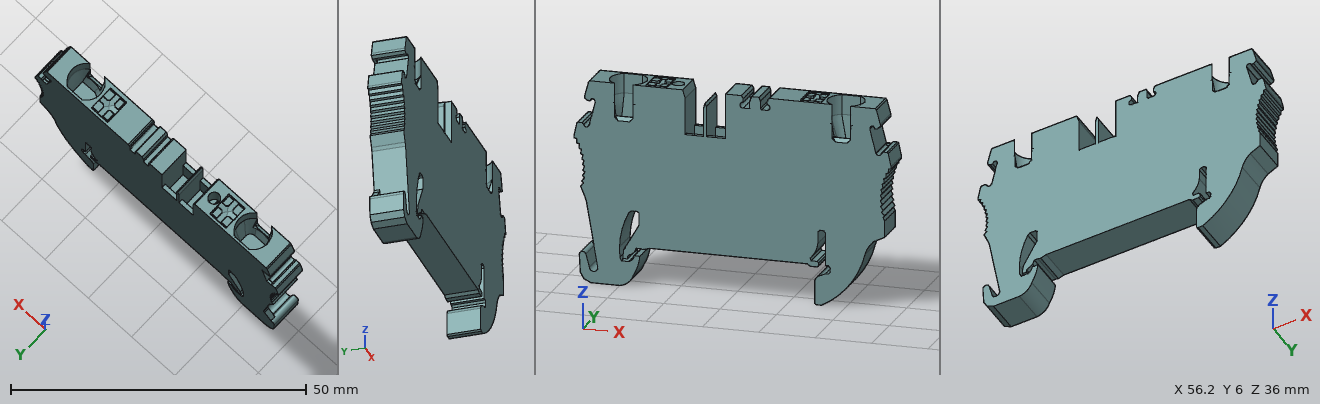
import cadquery as cq
import math

LENGTH = 56.25
WIDTH = 6.0
HEIGHT = 36.0
HALF_LENGTH = LENGTH / 2
HALF_WIDTH = WIDTH / 2

GRIP_CENTRE_X = 37.45
GRIP_CENTRE_Z = 19.95
GRIP_TIP_RADIUS = 10.9
GRIP_ROOT_RADIUS = 11.25
GRIP_TEETH = 9
GRIP_FIRST_ANGLE = 25.6
GRIP_LAST_ANGLE = -15.5
GRIP_ROOT_LEAD = 3.6

RAIL_SEAT_Z = 7.15

SHAFT_LEFT = -8.4
SHAFT_RIGHT = -1.25
SHAFT_FLOOR_Z = 28.05
FIN_LEFT = -5.2
FIN_RIGHT = -4.6
SHAFT_WELL_WIDTH = 4.45
SHAFT_WELL_DEPTH = 5.6

GROOVE_FLOOR_Z = 33.8

RELIEF_WEB = 0.5
GROOVE_RELIEFS = [(1.85, 34.3, 0.5), (6.15, 34.3, 0.5)]
END_NOTCH_RELIEFS = [(24.8, 32.4, 0.42), (25.9, 28.1, 0.42)]

HOOK_WEB = 1.0

FUNNEL_X = 19.3
FUNNEL_Y = -0.2
FUNNEL_DIAMETER = 6.45
FUNNEL_BACK_WALL = 0.45
FUNNEL_WALL_ANGLES = (160, 200, 240, 300)
FUNNEL_STRAIGHT_DEPTH = 3.5
FUNNEL_DEPTH = 7.9
FUNNEL_FLOOR_OUTER_X = 21.25
FUNNEL_FLOOR_INNER_X = 17.45
FUNNEL_FLOOR_FRONT_Y = -1.45
FUNNEL_FLOOR_BACK_Y = 2.15
FUNNEL_FLOOR_RADIUS = 1.1
WINDOW_WIDTH = 3.25
WINDOW_DEPTH = 6.65
WINDOW_CORNER = 0.6
WINDOW_SILL = 0.6

BUTTON_X = 13.65
BUTTON_Y = 0.1
BUTTON_LENGTH = 3.7
BUTTON_WIDTH = 4.7
BUTTON_GAP = 0.2
BUTTON_GAP_DEPTH = 0.3
BUTTON_SINK = 0.1
CROSS_ARM = 1.0
CROSS_CORNER = 0.35
CROSS_CENTRE_DEPTH = 0.7
CROSS_END_DEPTH = 0.4

TEST_HOLE_DIAMETER = 2.15
TEST_HOLE_X = -10.5
TEST_HOLE_DEPTH = 4.5
TEST_SLOT_LEFT = -11.0
TEST_SLOT_RIGHT = -10.4
TEST_SLOT_DEPTH = 5.05


def across(outline, y_from, y_to):
    """Extrude a closed XZ outline from one Y position to another."""
    return outline.extrude(y_from - y_to).translate((0, y_from, 0))


def box(x_from, x_to, y_from, y_to, z_from, z_to):
    size = (x_to - x_from, y_to - y_from, z_to - z_from)
    return cq.Workplane("XY").box(*size, centered=False).translate((x_from, y_from, z_from))


def mirrored(points):
    return [(-x, z) for x, z in points]


def grip_points():
    """Root and tip of each grip tooth on the -X end, from the top down."""
    step = (GRIP_LAST_ANGLE - GRIP_FIRST_ANGLE) / (GRIP_TEETH - 1)
    points = []
    for tooth in range(GRIP_TEETH):
        tip_angle = GRIP_FIRST_ANGLE + tooth * step
        corners = [
            (GRIP_ROOT_RADIUS, tip_angle + GRIP_ROOT_LEAD),
            (GRIP_TIP_RADIUS, tip_angle),
        ]
        for radius, angle in corners:
            a = math.radians(angle)
            points.append((radius * math.cos(a) - GRIP_CENTRE_X, GRIP_CENTRE_Z + radius * math.sin(a)))
    return points


def end_points():
    """Upper part of the -X end, from the top edge down to the last grip tooth."""
    label_notch = [
        (-25.3, HEIGHT), (-25.55, 35.75), (-26.2, 33.3), (-26.25, 32.85),
        (-25.7, 32.45), (-25.25, 32.4), (-24.35, 32.3),
        (-25.4, 28.05), (-26.4, 28.1), (-26.65, 28.4), (-27.4, 28.4), (-27.6, 28.25),
    ]
    nose = [(-HALF_LENGTH, 25.9), (-HALF_LENGTH, 25.55)]
    return label_notch + nose + grip_points()


def top_points():
    """Top edge from the -X end to the +X end: jumper shaft, fin and marker grooves."""
    shaft = [
        (-8.85, HEIGHT), (SHAFT_LEFT, 34.55), (SHAFT_LEFT, SHAFT_FLOOR_Z),
        (FIN_LEFT, SHAFT_FLOOR_Z), (FIN_LEFT, 33.0), (-4.9, 33.95), (FIN_RIGHT, 33.45),
        (FIN_RIGHT, SHAFT_FLOOR_Z), (SHAFT_RIGHT, SHAFT_FLOOR_Z), (SHAFT_RIGHT, HEIGHT),
    ]
    grooves = [
        (1.6, HEIGHT), (1.9, 35.5), (1.9, GROOVE_FLOOR_Z), (3.05, GROOVE_FLOOR_Z), (3.05, 35.15), (3.4, HEIGHT),
        (4.7, HEIGHT), (4.95, 35.3), (4.95, 34.0), (5.2, GROOVE_FLOOR_Z), (6.15, GROOVE_FLOOR_Z),
        (6.15, 35.4), (6.3, 35.75), (6.6, HEIGHT),
    ]
    return shaft + grooves


def housing():
    left_end = end_points()
    right_end = mirrored(left_end)
    outline = cq.Workplane("XZ").moveTo(*left_end[0])
    for point in top_points() + right_end:
        outline = outline.lineTo(*point)

    outline = (
        outline.lineTo(26.7, 16.7)
        .lineTo(27.0, 16.15)
        .lineTo(27.0, 13.2)
        .lineTo(25.1, 12.25)
        .threePointArc((24.1, 11.2), (23.5, 9.85))
        .threePointArc((20.85, 4.3), (15.8, 0))
        .lineTo(14.9, 0)
        .lineTo(14.55, 0.2)
        .lineTo(14.55, 4.3)
        .threePointArc((14.9, 4.9), (15.45, 5.25))
        .lineTo(16.5, 5.7)
        .lineTo(17.05, 5.75)
        .lineTo(17.3, 6.0)
        .lineTo(17.3, 6.75)
        .lineTo(17.05, RAIL_SEAT_Z)
        .lineTo(16.5, RAIL_SEAT_Z)
        .lineTo(16.5, 13.0)
        .lineTo(16.15, 13.35)
        .lineTo(15.45, 13.35)
        .lineTo(15.15, 13.0)
        .lineTo(15.15, 10.95)
        .threePointArc((14.8, 9.7), (13.8, 8.2))
        .lineTo(13.95, 7.75)
        .lineTo(15.0, 7.75)
        .lineTo(15.3, 7.55)
        .lineTo(15.3, 7.0)
        .lineTo(15.0, 6.75)
        .lineTo(13.85, 6.75)
        .lineTo(13.2, RAIL_SEAT_Z)
    )

    outline = (
        outline.lineTo(-14.8, RAIL_SEAT_Z)
        .lineTo(-15.85, 6.8)
        .lineTo(-16.4, 6.9)
        .lineTo(-17.1, 6.9)
        .lineTo(-17.45, 6.15)
        .lineTo(-18.6, 5.35)
        .lineTo(-18.6, 4.9)
        .lineTo(-19.45, 4.9)
        .lineTo(-19.3, 6.45)
        .lineTo(-16.6, 11.1)
        .lineTo(-16.6, 13.3)
        .lineTo(-16.9, 13.5)
        .lineTo(-17.95, 13.5)
        .lineTo(-18.4, 13.1)
        .threePointArc((-19.55, 10.1), (-20.0, 6.9))
        .lineTo(-19.95, 5.05)
        .lineTo(-19.7, 4.45)
        .lineTo(-18.4, 4.45)
        .threePointArc((-17.7, 4.95), (-17.5, 5.55))
    )

    outline = (
        outline.lineTo(-16.4, 5.55)
        .threePointArc((-16.8, 3.7), (-17.6, 2.0))
        .threePointArc((-18.55, 0.6), (-20.0, 0))
        .lineTo(-25.1, 0)
        .lineTo(-26.4, 0.6)
        .lineTo(-27.0, 1.75)
        .lineTo(-27.15, 4.7)
        .threePointArc((-26.55, 5.45), (-26.0, 5.05))
        .lineTo(-25.35, 2.75)
        .threePointArc((-24.5, 2.1), (-23.9, 2.9))
        .lineTo(-25.9, 14.5)
        .lineTo(-26.15, 15.2)
        .lineTo(*left_end[-1])
    )
    for point in reversed(left_end[1:-1]):
        outline = outline.lineTo(*point)
    return across(outline.close(), -HALF_WIDTH, HALF_WIDTH)


def reliefs():
    """Rounded corner reliefs that stop at the thin web on the +Y side."""
    places = list(GROOVE_RELIEFS)
    for x, z, radius in END_NOTCH_RELIEFS:
        places += [(-x, z, radius), (x, z, radius)]
    cutters = cq.Workplane("XZ")
    for x, z, radius in places:
        circle = cq.Workplane("XZ").center(x, z).circle(radius)
        cutters = cutters.add(across(circle, -HALF_WIDTH, HALF_WIDTH - RELIEF_WEB))
    return cutters.combine()


def hook_web():
    corners = [(-24.75, 7.6), (-24.9, 7.1), (-26.45, 5.4), (-25.85, 1.95), (-23.35, 1.95)]
    return across(cq.Workplane("XZ").polyline(corners).close(), HALF_WIDTH - HOOK_WEB, HALF_WIDTH)


def shaft_wells():
    """Deeper wells in the shaft floor, one on each side of the fin."""
    half = SHAFT_WELL_WIDTH / 2
    bottom = SHAFT_FLOOR_Z - SHAFT_WELL_DEPTH
    left = box(SHAFT_LEFT, FIN_LEFT, -half, half, bottom, SHAFT_FLOOR_Z)
    right = box(FIN_RIGHT, SHAFT_RIGHT, -half, half, bottom, SHAFT_FLOOR_Z)
    return left.add(right).combine()


def funnel_mouth_outline(z):
    """Circle flattened beside the +Y face, split where the funnel walls meet."""
    radius = FUNNEL_DIAMETER / 2

    def rim(angle):
        a = math.radians(angle)
        return (FUNNEL_X + radius * math.cos(a), FUNNEL_Y + radius * math.sin(a))

    back_y = HALF_WIDTH - FUNNEL_BACK_WALL
    back_angle = math.degrees(math.asin((back_y - FUNNEL_Y) / radius))
    corners = [180 - back_angle, *FUNNEL_WALL_ANGLES, 360 + back_angle]
    outline = cq.Workplane("XY", origin=(0, 0, z)).moveTo(*rim(back_angle)).lineTo(*rim(corners[0]))
    for start, end in zip(corners[:-2], corners[1:-1]):
        outline = outline.threePointArc(rim((start + end) / 2), rim(end))
    return outline.threePointArc(rim((corners[-2] + corners[-1]) / 2), rim(back_angle)).close()


def funnel_floor_outline(z):
    """Rectangle with both inner corners rounded."""
    inner = FUNNEL_FLOOR_INNER_X
    outer = FUNNEL_FLOOR_OUTER_X
    front = FUNNEL_FLOOR_FRONT_Y
    back = FUNNEL_FLOOR_BACK_Y
    radius = FUNNEL_FLOOR_RADIUS
    inset = radius * (1 - math.sqrt(0.5))
    return (
        cq.Workplane("XY", origin=(0, 0, z))
        .moveTo(outer, back)
        .lineTo(inner + radius, back)
        .threePointArc((inner + inset, back - inset), (inner, back - radius))
        .lineTo(inner, front + radius)
        .threePointArc((inner + inset, front + inset), (inner + radius, front))
        .lineTo(outer, front)
        .close()
    )


def wire_funnel():
    """Straight mouth above a taper down to the rounded rectangular floor; +X end."""
    taper_top = HEIGHT - FUNNEL_STRAIGHT_DEPTH
    mouth = funnel_mouth_outline(taper_top).extrude(FUNNEL_STRAIGHT_DEPTH)
    rings = [funnel_floor_outline(HEIGHT - FUNNEL_DEPTH), funnel_mouth_outline(taper_top)]
    wires = [ring.ctx.pendingWires[0] for ring in rings]
    return mouth.union(cq.Workplane(cq.Solid.makeLoft(wires, True)))


def funnel_window():
    """Opening in the -Y face, with bevelled lower corners and a sill that rises inward; +X end."""
    sill_z = HEIGHT - WINDOW_DEPTH
    left = FUNNEL_X - WINDOW_WIDTH / 2
    right = FUNNEL_X + WINDOW_WIDTH / 2
    opening = (
        box(left, right, -HALF_WIDTH, FUNNEL_Y, sill_z, HEIGHT)
        .edges("|Y and <Z")
        .chamfer(WINDOW_CORNER)
    )
    sill = [
        (-HALF_WIDTH, sill_z),
        (WINDOW_SILL - HALF_WIDTH, sill_z + WINDOW_SILL),
        (FUNNEL_Y, sill_z + WINDOW_SILL),
        (FUNNEL_Y, sill_z),
    ]
    return opening.cut(cq.Workplane("YZ").polyline(sill).close().extrude(HALF_LENGTH))


def release_button():
    """Sunken button with a gap on three sides and a cross recess; +X end."""
    half_length = BUTTON_LENGTH / 2
    half_width = BUTTON_WIDTH / 2
    button_outline = box(
        BUTTON_GAP - half_length, half_length,
        BUTTON_GAP - half_width, half_width - BUTTON_GAP,
        -BUTTON_GAP_DEPTH, -BUTTON_SINK,
    )
    surround = box(-half_length, half_length, -half_width, half_width, -BUTTON_GAP_DEPTH, 0)

    def trough(plane, half_span):
        profile = [
            (-half_span, 0), (-half_span, -CROSS_END_DEPTH), (0, -CROSS_CENTRE_DEPTH),
            (half_span, -CROSS_END_DEPTH), (half_span, 0),
        ]
        return cq.Workplane(plane).polyline(profile).close().extrude(BUTTON_WIDTH, both=True)

    floor = trough("XZ", half_length).intersect(trough("YZ", half_width))
    arm_x = cq.Workplane("XY").rect(BUTTON_LENGTH, CROSS_ARM).extrude(-CROSS_CENTRE_DEPTH)
    arm_y = cq.Workplane("XY").rect(CROSS_ARM, BUTTON_WIDTH).extrude(-CROSS_CENTRE_DEPTH)
    reach = CROSS_ARM + CROSS_CORNER
    hub_corners = [(reach, 0), (0, reach), (-reach, 0), (0, -reach)]
    hub = cq.Workplane("XY").polyline(hub_corners).close().extrude(-CROSS_CENTRE_DEPTH)
    cross = arm_x.union(arm_y).union(hub).intersect(floor)
    return surround.cut(button_outline).union(cross).translate((BUTTON_X, BUTTON_Y, HEIGHT))


def test_hole():
    """Blind round hole with a narrow slot sunk in its floor."""
    def bore(depth):
        mouth = cq.Workplane("XY", origin=(TEST_HOLE_X, 0, HEIGHT))
        return mouth.circle(TEST_HOLE_DIAMETER / 2).extrude(-depth)

    strip = box(
        TEST_SLOT_LEFT, TEST_SLOT_RIGHT, -HALF_WIDTH, HALF_WIDTH, HEIGHT - TEST_SLOT_DEPTH, HEIGHT,
    )
    return bore(TEST_HOLE_DEPTH).union(bore(TEST_SLOT_DEPTH).intersect(strip))


result = housing().cut(reliefs()).union(hook_web()).cut(shaft_wells()).cut(test_hole())
for end_feature in (wire_funnel(), funnel_window(), release_button()):
    result = result.cut(end_feature).cut(end_feature.mirror("YZ"))